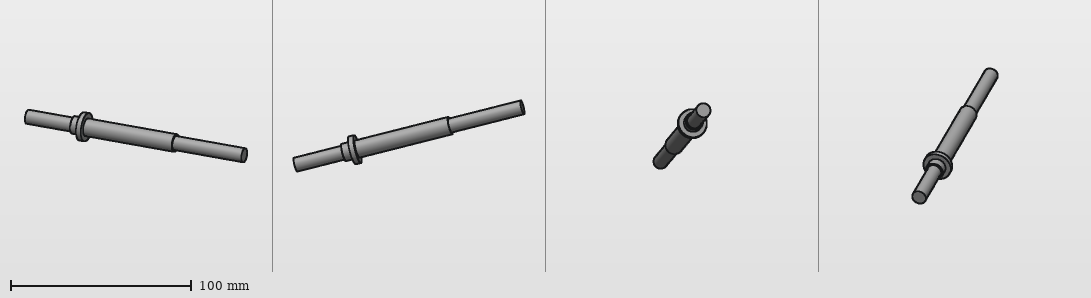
import cadquery as cq

total_length = 132.0
front_journal_length = 28.0
front_shoulder_length = 5.0
flange_thickness = 3.0
rear_journal_length = 42.0
rear_shoulder_length = (
    total_length - front_journal_length - front_shoulder_length - flange_thickness - rear_journal_length
)

journal_diameter = 8.0
shoulder_diameter = 10.0
flange_diameter = 16.0

sections = [
    (front_journal_length, journal_diameter),
    (front_shoulder_length, shoulder_diameter),
    (flange_thickness, flange_diameter),
    (rear_shoulder_length, shoulder_diameter),
    (rear_journal_length, journal_diameter),
]


def stepped_shaft(shaft_sections):
    """Stack coaxial cylinders along +X, starting at the origin."""
    shaft = cq.Workplane("YZ")
    start_x = 0.0
    for length, diameter in shaft_sections:
        cylinder = cq.Workplane("YZ", origin=(start_x, 0, 0)).circle(diameter / 2).extrude(length)
        shaft = shaft.union(cylinder) if start_x > 0 else cylinder
        start_x += length
    return shaft


result = stepped_shaft(sections)